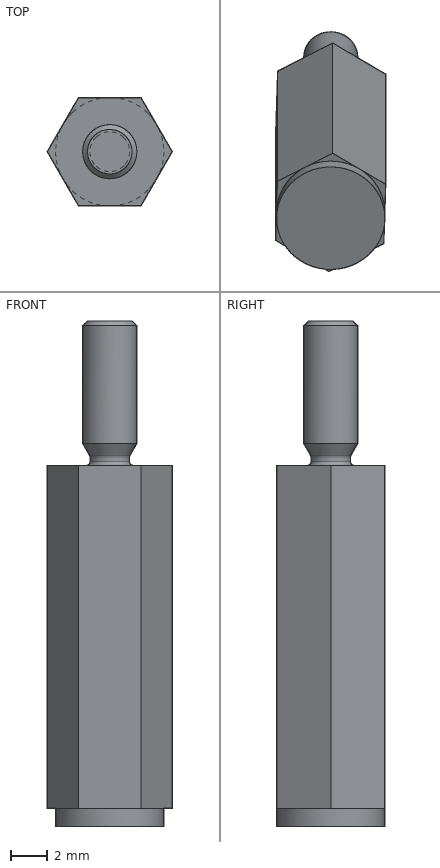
import cadquery as cq
import math

across_flats = 6.0
collar_diameter = across_flats
collar_height = 1.0
hex_height = 19.0

stud_radius = 3.0 / 2
stud_length = 8.0
stud_tip_radius = 2.46 / 2
tip_chamfer = stud_radius - stud_tip_radius

neck_radius = 2.2 / 2
undercut_length = 1.2
undercut_half_angle = math.radians(30)
undercut_fillet = 0.2

hex_top = collar_height + hex_height
overall_height = hex_top + stud_length


def make_collar():
    """Round foot whose diameter equals the hexagon's across-flats size."""
    return cq.Workplane("XY").circle(collar_diameter / 2).extrude(collar_height)


def make_hexagon():
    """Hexagonal body with two corners on the X axis."""
    across_corners = across_flats / math.cos(math.pi / 6)
    return (
        cq.Workplane("XY")
        .workplane(offset=collar_height)
        .polygon(6, across_corners)
        .extrude(hex_height)
    )


def make_stud():
    """Stud with a chamfered tip and a filleted undercut, revolved about Z."""
    undercut_top = hex_top + undercut_length
    cone_height = (stud_radius - neck_radius) / math.tan(undercut_half_angle)
    corner_z = undercut_top - cone_height

    tangent_length = undercut_fillet * math.tan(undercut_half_angle / 2)
    fillet_centre_r = neck_radius + undercut_fillet
    fillet_start_z = corner_z - tangent_length
    flank_r = neck_radius + tangent_length * math.sin(undercut_half_angle)
    flank_z = corner_z + tangent_length * math.cos(undercut_half_angle)
    mid_angle = undercut_half_angle / 2
    upper_mid_r = fillet_centre_r - undercut_fillet * math.cos(mid_angle)
    upper_mid_z = fillet_start_z + undercut_fillet * math.sin(mid_angle)

    lower_end_z = hex_top + undercut_fillet
    lower_mid_r = fillet_centre_r - undercut_fillet * math.cos(math.pi / 4)
    lower_mid_z = lower_end_z - undercut_fillet * math.sin(math.pi / 4)

    profile = (
        cq.Workplane("XZ")
        .moveTo(0, hex_top)
        .lineTo(fillet_centre_r, hex_top)
        .threePointArc((lower_mid_r, lower_mid_z), (neck_radius, lower_end_z))
        .lineTo(neck_radius, fillet_start_z)
        .threePointArc((upper_mid_r, upper_mid_z), (flank_r, flank_z))
        .lineTo(stud_radius, undercut_top)
        .lineTo(stud_radius, overall_height - tip_chamfer)
        .lineTo(stud_tip_radius, overall_height)
        .lineTo(0, overall_height)
        .close()
    )
    return profile.revolve(360, (0, 0, 0), (0, 1, 0))


result = make_collar().union(make_hexagon()).union(make_stud())